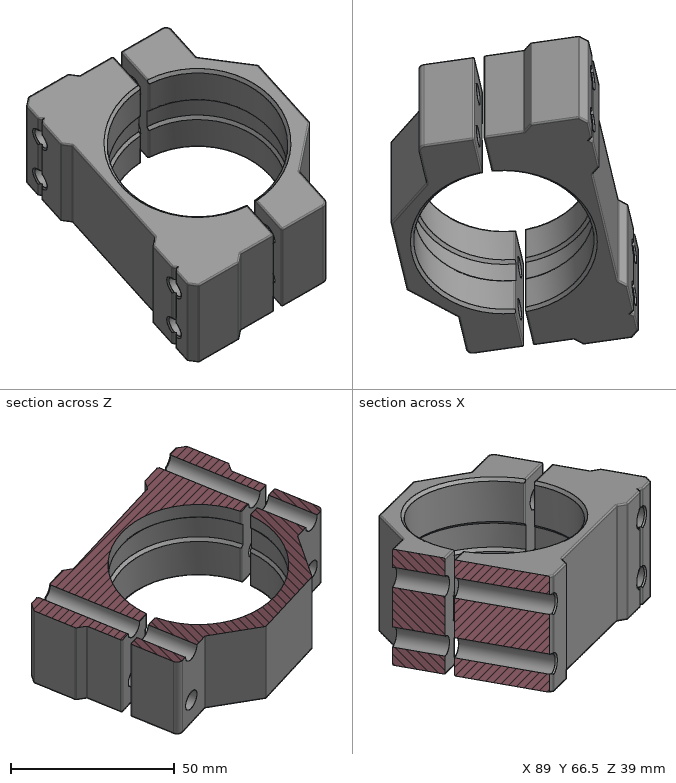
import cadquery as cq
import math

LENGTH_Z = 39.0
BASE_WIDTH = 89.0
CLAMP_WIDTH = 84.0
SPLIT_GAP = 3.0
BASE_BOTTOM = -34.0
CAP_TOP = 32.5

BORE_RADIUS = 27.5
BORE_CHAMFER = 1.0
GROOVE_WIDTH = 10.0
GROOVE_DEPTH = 1.0
GROOVE_END_SLOPE = 1.0

STEP_TOP = -14.0
FOOT_CHAMFER = 2.5
RELIEF_DEPTH = 2.5
RELIEF_HALF_WIDTH = 21.5
NOTCH_HALF_WIDTH = 1.0

SHOULDER_HEIGHT = 19.0
CAP_TOP_HALF_WIDTH = 13.5
SHOULDER_RADIUS = 2.0

SCREW_X = 35.0
SCREW_Z = 10.0
SCREW_DIAMETER = 6.6
SCREW_MOUTH_DIAMETER = 7.6

EDGE_RADIUS = 0.5
MATCH_TOLERANCE = 0.01

half_clamp = CLAMP_WIDTH / 2
half_base = BASE_WIDTH / 2
half_gap = SPLIT_GAP / 2
half_length = LENGTH_Z / 2
step_bottom = STEP_TOP - (half_base - half_clamp)
foot_half_width = half_base - FOOT_CHAMFER
relief_floor = BASE_BOTTOM + RELIEF_DEPTH
relief_mouth = RELIEF_HALF_WIDTH + RELIEF_DEPTH
shoulder_inner = CAP_TOP_HALF_WIDTH + CAP_TOP - SHOULDER_HEIGHT


def mirrored_pair(points):
    """The given points together with their mirror images in the YZ plane."""
    return points + [(-x, y) for x, y in points]


def extruded_half(right_side):
    """Symmetric prism from its right-hand outline points, with the bore passing through it."""
    left_side = [(-x, y) for x, y in reversed(right_side)]
    prism = cq.Workplane("XY").polyline(right_side + left_side).close().extrude(half_length, both=True)
    bore = cq.Workplane("XY").circle(BORE_RADIUS).extrude(half_length, both=True)
    return prism.cut(bore)


def round_corners(body, corners, radius):
    """Round the edges parallel to Z that stand on the given corners."""
    def on_corner(edge):
        centre = edge.Center()
        return any(math.hypot(centre.x - x, centre.y - y) < MATCH_TOLERANCE for x, y in corners)

    return body.edges("|Z").filter(on_corner).fillet(radius)


def round_rims(body):
    """Round the outline of both end faces, leaving the bore edge sharp."""
    def not_bore(edge):
        return not (edge.geomType() == "CIRCLE" and edge.radius() > BORE_RADIUS / 2)

    return body.faces("|Z").edges().filter(not_bore).fillet(EDGE_RADIUS)


def bore_cutter():
    """Body of revolution that forms the bore's end chamfers and its middle groove."""
    groove_radius = BORE_RADIUS + GROOVE_DEPTH
    groove_half = GROOVE_WIDTH / 2
    mouth_radius = BORE_RADIUS + BORE_CHAMFER
    upper_profile = [
        (groove_radius, groove_half - GROOVE_END_SLOPE),
        (BORE_RADIUS, groove_half),
        (BORE_RADIUS, half_length - BORE_CHAMFER),
        (mouth_radius, half_length),
        (0, half_length),
    ]
    lower_profile = [(r, -z) for r, z in reversed(upper_profile)]
    profile = cq.Workplane("XZ").polyline(upper_profile + lower_profile).close()
    return profile.revolve(360, (0, 0, 0), (0, 1, 0))


def screw_points():
    return [(x, z) for x in (-SCREW_X, SCREW_X) for z in (-SCREW_Z, SCREW_Z)]


def screw_holes():
    """Four holes along Y, through both halves."""
    plane = cq.Workplane("XZ").pushPoints(screw_points())
    return plane.circle(SCREW_DIAMETER / 2).extrude(BASE_WIDTH, both=True)


def screw_mouths():
    """Conical lead-ins of the screw holes in the feet of the base."""
    mouth_depth = (SCREW_MOUTH_DIAMETER - SCREW_DIAMETER) / 2
    cones = cq.Workplane("XY")
    for x, z in screw_points():
        cones = cones.add(
            cq.Solid.makeCone(
                SCREW_MOUTH_DIAMETER / 2,
                SCREW_DIAMETER / 2,
                mouth_depth,
                cq.Vector(x, BASE_BOTTOM, z),
                cq.Vector(0, 1, 0),
            )
        )
    return cones.combine()


def bore_corner(split_y):
    """Right-hand corner where a split face meets the bore."""
    return (math.sqrt(BORE_RADIUS**2 - split_y**2), split_y)


def make_base():
    split_y = -half_gap
    notch_root = (SCREW_X, BASE_BOTTOM + NOTCH_HALF_WIDTH)
    outline = [
        (half_clamp, split_y),
        (half_clamp, STEP_TOP),
        (half_base, step_bottom),
        (half_base, BASE_BOTTOM + FOOT_CHAMFER),
        (foot_half_width, BASE_BOTTOM),
        (SCREW_X + NOTCH_HALF_WIDTH, BASE_BOTTOM),
        notch_root,
        (SCREW_X - NOTCH_HALF_WIDTH, BASE_BOTTOM),
        (relief_mouth, BASE_BOTTOM),
        (RELIEF_HALF_WIDTH, relief_floor),
    ]
    rounded = [corner for corner in outline if corner != notch_root]
    rounded.append(bore_corner(split_y))
    body = extruded_half(outline)
    body = round_corners(body, mirrored_pair(rounded), EDGE_RADIUS)
    body = round_rims(body)
    return body.cut(bore_cutter()).cut(screw_holes()).cut(screw_mouths())


def make_cap():
    split_y = half_gap
    shoulder_corner = (half_clamp, SHOULDER_HEIGHT)
    outline = [
        (half_clamp, split_y),
        shoulder_corner,
        (shoulder_inner, SHOULDER_HEIGHT),
        (CAP_TOP_HALF_WIDTH, CAP_TOP),
    ]
    rounded = [corner for corner in outline if corner != shoulder_corner]
    rounded.append(bore_corner(split_y))
    body = extruded_half(outline)
    body = round_corners(body, mirrored_pair([shoulder_corner]), SHOULDER_RADIUS)
    body = round_corners(body, mirrored_pair(rounded), EDGE_RADIUS)
    body = round_rims(body)
    return body.cut(bore_cutter()).cut(screw_holes())


base = make_base()
cap = make_cap()

result = cq.Compound.makeCompound([base.val(), cap.val()])